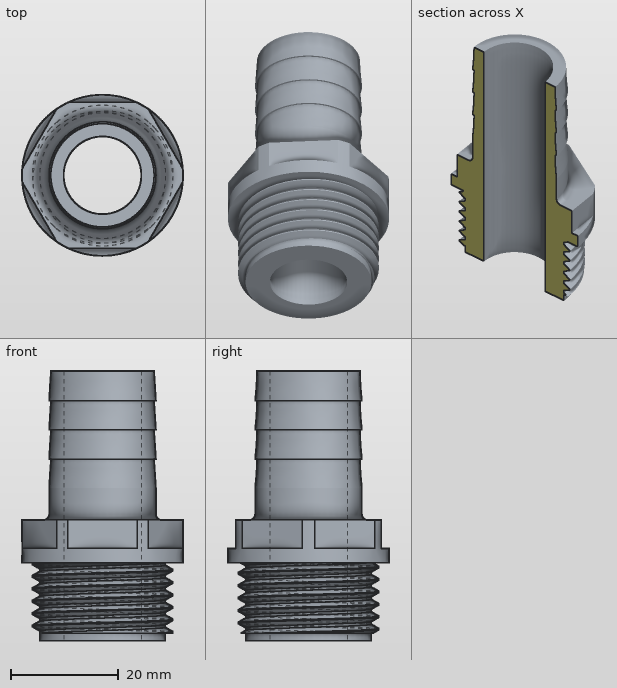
import cadquery as cq

total_height = 50.2
bore_diameter = 14.4

thread_root_diameter = 23.4
thread_major_diameter = 26.2
thread_pitch = 2.309
thread_base_width = 1.8
thread_crest_width = 0.2
thread_start_z = 1.45
first_crest_z = 1.6
root_overlap = 0.2
core_seam_angle = 90

collar_diameter = 30.0
collar_bottom_z = 14.5
collar_top_z = 17.2
hex_across_flats = 27.1
hex_sides = 6
hex_top_z = 22.5

spigot_diameter = 19.9
spigot_fillet_radius = 1.0
barb_start_z = 28.4
barb_count = 4
barb_tip_diameter = 19.2
barb_length = 5.4


def cylinder(diameter, bottom_z, top_z):
    """Upright cylinder on the part axis."""
    return cq.Workplane("XY", origin=(0, 0, bottom_z)).circle(diameter / 2).extrude(top_z - bottom_z)


def make_thread():
    """Right-handed ridge, cut flat at its start and at the underside of the collar."""
    root_radius = thread_root_diameter / 2
    crest_radius = thread_major_diameter / 2
    inner_radius = root_radius - root_overlap
    flank_run = (thread_base_width - thread_crest_width) / 2
    flank_slope = flank_run / (crest_radius - root_radius)
    inner_half_width = thread_base_width / 2 + root_overlap * flank_slope
    crest_half_width = thread_crest_width / 2

    helix_start_z = first_crest_z - thread_pitch
    helix_height = collar_bottom_z - helix_start_z + thread_pitch
    helix = cq.Wire.makeHelix(thread_pitch, helix_height, root_radius, cq.Vector(0, 0, helix_start_z))
    ridge = (
        cq.Workplane("XZ")
        .polyline(
            [
                (inner_radius, helix_start_z - inner_half_width),
                (crest_radius, helix_start_z - crest_half_width),
                (crest_radius, helix_start_z + crest_half_width),
                (inner_radius, helix_start_z + inner_half_width),
            ]
        )
        .close()
        .sweep(cq.Workplane(helix), isFrenet=True)
    )
    return ridge.intersect(cylinder(collar_diameter, thread_start_z, collar_bottom_z))


def make_hexagon():
    """Wrench hexagon with flats facing +Y and -Y, its corners rounded to the collar diameter."""
    hexagon = (
        cq.Workplane("XY", origin=(0, 0, collar_top_z))
        .polygon(hex_sides, hex_across_flats, circumscribed=True)
        .extrude(hex_top_z - collar_top_z)
        .rotate((0, 0, 0), (0, 0, 1), 180 / hex_sides)
    )
    return hexagon.intersect(cylinder(collar_diameter, collar_top_z, hex_top_z))


def make_spigot():
    """Hose spigot: flared foot, plain length and tapering barbs up to the open end."""
    radius = spigot_diameter / 2
    foot_radius = radius + spigot_fillet_radius
    arc_offset = spigot_fillet_radius * (1 - 0.5**0.5)
    profile = (
        cq.Workplane("XZ")
        .moveTo(0, hex_top_z)
        .lineTo(foot_radius, hex_top_z)
        .threePointArc(
            (radius + arc_offset, hex_top_z + arc_offset),
            (radius, hex_top_z + spigot_fillet_radius),
        )
    )
    for index in range(barb_count):
        barb_bottom_z = barb_start_z + index * barb_length
        profile = profile.lineTo(radius, barb_bottom_z)
        barb_top_z = total_height if index == barb_count - 1 else barb_bottom_z + barb_length
        profile = profile.lineTo(barb_tip_diameter / 2, barb_top_z)
    return profile.lineTo(0, total_height).close().revolve(360, (0, 0, 0), (0, 1, 0))


core = cylinder(thread_root_diameter, 0, collar_bottom_z).rotate((0, 0, 0), (0, 0, 1), core_seam_angle)
collar = cylinder(collar_diameter, collar_bottom_z, collar_top_z)
bore = cylinder(bore_diameter, 0, total_height)

body = core.union(make_thread()).union(collar).union(make_hexagon()).union(make_spigot())
result = body.cut(bore)